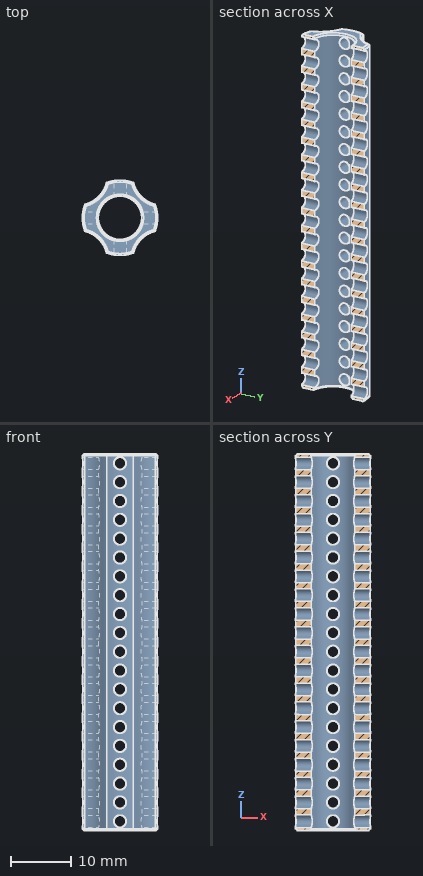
import cadquery as cq

LENGTH = 62.5
OUTER_DIAMETER = 12.5
BORE_DIAMETER = 7.2
RIB_COUNT = 4
GROOVE_RADIUS = 5.0
GROOVE_FLOOR_RADIUS = 5.0
END_CHAMFER = 0.3

HOLE_DIAMETER = 2.0
HOLE_PITCH = 3.1
HOLES_PER_ROW = 20

outer_radius = OUTER_DIAMETER / 2
groove_center_distance = GROOVE_FLOOR_RADIUS + GROOVE_RADIUS
first_groove_angle = 180 / RIB_COUNT


def make_body():
    """Round bar along Z with one rounded groove between each pair of ribs."""
    bar = cq.Workplane("XY").circle(outer_radius).extrude(LENGTH)
    grooves = (
        cq.Workplane("XY")
        .polarArray(groove_center_distance, first_groove_angle, 360, RIB_COUNT)
        .circle(GROOVE_RADIUS)
        .extrude(LENGTH)
    )
    return bar.cut(grooves)


def bore_and_chamfer(body):
    """Drill the bore, then chamfer the outer and inner rims of both ends."""
    bored = body.faces(">Z").workplane(origin=(0, 0, LENGTH)).hole(BORE_DIAMETER)
    return bored.faces("<Z or >Z").edges().chamfer(END_CHAMFER)


def hole_row(plane):
    """Cylinders crossing the whole part along the plane's normal, evenly spaced in Z."""
    hole_span = (HOLES_PER_ROW - 1) * HOLE_PITCH
    first_hole_z = (LENGTH - hole_span) / 2
    centers = [(0, first_hole_z + i * HOLE_PITCH) for i in range(HOLES_PER_ROW)]
    return (
        cq.Workplane(plane)
        .pushPoints(centers)
        .circle(HOLE_DIAMETER / 2)
        .extrude(outer_radius, both=True)
    )


tube = bore_and_chamfer(make_body())
result = tube.cut(hole_row("XZ")).cut(hole_row("YZ"))